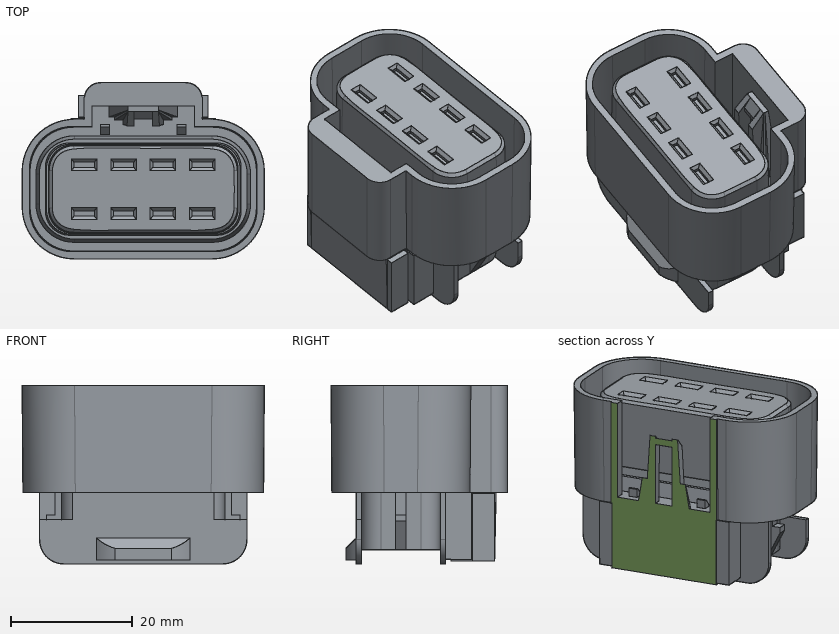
import cadquery as cq
import math

SHROUD_HALF_X = 19.93
SHROUD_HALF_Y = 11.5
SHROUD_RADIUS = 8.63
CAVITY_RADIUS = 7.1
SHROUD_TOP = 17.63
SHROUD_DRAFT = 0.13
WALL = 1.2
FLOOR = 1.3

BULGE_HALF_X = 9.72
BULGE_Y = 17.53
BULGE_RADIUS = 2.75
BULGE_POCKET_HALF_X = 8.44
BULGE_POCKET_Y = 13.65

RING_HALF_X = 17.64
RING_HALF_Y = 8.76
RING_RADIUS = 6.3
RING_HEIGHT = 2.4
RING_SLOPE_WIDTH = 0.55

PLUG_TOP = 16.5
PLUG_HALF_X = 15.45
PLUG_HALF_Y = 7.1
PLUG_RADIUS = 4.0
PLUG_DRAFT = 0.22
PLUG_CHAMFER = 0.5
FOOT_TOP = 5.0
FOOT_HALF_X = 15.9
FOOT_HALF_Y = 7.4
FOOT_DRAFT = 0.2

TERMINAL_COLUMNS = 4
TERMINAL_ROWS = 2
TERMINAL_PITCH_X = 6.48
TERMINAL_PITCH_Y = 8.0
MOUTH_X = 4.2
MOUTH_Y = 1.95
SLOT_X = 3.35
SLOT_Y = 0.85
MOUTH_DEPTH = 0.55
SLOT_DEPTH = 0.5

LATCH_TOP = 14.0
LATCH_TOP_HALF_X = 2.5
LATCH_TOP_Y = 12.72
LATCH_FLARE_HALF_X = 5.6
LATCH_FLARE_TOP_Y = 13.0
LATCH_FLARE_Y = 11.86
LATCH_WING_HALF_X = 4.7
LATCH_WING_Y = 11.34
RIB_INNER_X = 1.48
RIB_BASE_OUTER_X = 3.35
RIB_FRONT_Y = 10.35
RIB_FOOT_Y = 10.65
RIB_RAMP_DROP = 2.6
PAD_Y = 11.5
PAD_RAMP_DROP = 1.75
PAD_THICKNESS = 0.8

KEY_INNER_X = 5.52
KEY_OUTER_X = 7.0
KEY_BACK_Y = 10.6
KEY_CREST_Y = 10.25
KEY_FRONT_Y = 8.95
KEY_HEIGHT = 1.4

CORE_HALF_X = 13.45
CORE_HALF_Y = 6.48
CORE_RADIUS = 3.2
CORE_BOTTOM = -9.4

WEDGE_HALF_Y = 0.86
WEDGE_STEM_X = 14.5
WEDGE_TIP_X = 15.88
WEDGE_SHELF_Z = -3.66
WEDGE_TIP_Z = -4.68

PLATE_HALF_X = 17.06
PLATE_THICKNESS = 0.87
PLATE_BOTTOM = -11.73
PLATE_RADIUS = 4.0
NECK_HALF_X = 11.62
SHOULDER_Z = -4.44

NOSE_HALF_X = 7.68
NOSE_FLAT_HALF_X = 4.64
NOSE_DEPTH = 1.7
NOSE_END_RADIUS = 7.5
NOSE_TOP = -7.45
NOSE_BOTTOM = -11.1

INNER_BLOCK_HALF_X = 11.88
INNER_BLOCK_Y = 11.62
INNER_BLOCK_BOTTOM = -10.97
OUTER_BLOCK_HALF_X = 10.66
OUTER_BLOCK_Y = 15.42
OUTER_BLOCK_START_Y = 11.8
OUTER_BLOCK_TOP = -0.13
OUTER_BLOCK_BOTTOM = -11.23
TIE_HALF_X = 9.6
TIE_TOP_Y = 15.67
TIE_START_Y = 8.2


def box(x0, x1, y0, y1, z0, z1):
    """Axis-aligned box between two corners."""
    return cq.Workplane("XY").box(x1 - x0, y1 - y0, z1 - z0, centered=False).translate((x0, y0, z0))


def oval(half_x, half_y, radius, z0, z1, draft=0.0):
    """Rounded block whose half sizes change by draft from z0 to z1; the given sizes hold at z0."""
    plane = cq.Workplane("XY", origin=(0, 0, z0))
    height = z1 - z0
    base = cq.Sketch().rect(2 * half_x, 2 * half_y).vertices().fillet(radius)
    if draft == 0:
        return plane.placeSketch(base).extrude(height)
    top = cq.Sketch().rect(2 * (half_x + draft), 2 * (half_y + draft)).vertices().fillet(radius)
    return plane.placeSketch(base, top.moved(cq.Location((0, 0, height)))).loft()


def extrude_x(points, x0, x1):
    """Extrude an outline of (y, z) points from x0 to x1."""
    return cq.Workplane("YZ", origin=(x0, 0, 0)).polyline(points).close().extrude(x1 - x0)


def rect_loft(lower, upper):
    """Loft between two rectangles, each given as (x0, x1, y0, y1, z)."""
    wires = []
    for x0, x1, y0, y1, z in (lower, upper):
        corners = [(x0, y0, z), (x1, y0, z), (x1, y1, z), (x0, y1, z)]
        wires.append(cq.Wire.makePolygon([cq.Vector(*corner) for corner in corners], close=True))
    return cq.Workplane(obj=cq.Solid.makeLoft(wires, True))


def both_sides(half):
    """A body together with its mirror image across X = 0."""
    return half.union(half.mirror("YZ"))


def make_shroud():
    """Drafted oval shell with the latch bulge and a closed floor."""
    outer = oval(SHROUD_HALF_X - SHROUD_DRAFT, SHROUD_HALF_Y - SHROUD_DRAFT, SHROUD_RADIUS,
                 0, SHROUD_TOP, SHROUD_DRAFT)
    bulge = box(-BULGE_HALF_X, BULGE_HALF_X, 0, BULGE_Y, 0, SHROUD_TOP)
    bulge = bulge.edges("|Z and >Y").fillet(BULGE_RADIUS)
    cavity = oval(SHROUD_HALF_X - WALL - SHROUD_DRAFT, SHROUD_HALF_Y - WALL - SHROUD_DRAFT,
                  CAVITY_RADIUS, FLOOR, SHROUD_TOP, SHROUD_DRAFT)
    pocket = box(-BULGE_POCKET_HALF_X, BULGE_POCKET_HALF_X, 0, BULGE_POCKET_Y, FLOOR, SHROUD_TOP)
    return outer.union(bulge).cut(cavity).cut(pocket)


def make_ring():
    """Flat-topped ring around the plug with a steep sloping outer wall."""
    outline = cq.Sketch().rect(2 * RING_HALF_X, 2 * RING_HALF_Y).vertices().fillet(RING_RADIUS)
    slope = math.degrees(math.atan2(RING_SLOPE_WIDTH, RING_HEIGHT))
    return cq.Workplane("XY", origin=(0, 0, FLOOR)).placeSketch(outline).extrude(RING_HEIGHT, taper=slope)


def make_plug():
    """Plug body on its stepped foot, with the terminal openings."""
    foot = oval(FOOT_HALF_X + FOOT_DRAFT, FOOT_HALF_Y + FOOT_DRAFT, PLUG_RADIUS,
                FLOOR + RING_HEIGHT, FOOT_TOP, -FOOT_DRAFT)
    body = oval(PLUG_HALF_X + PLUG_DRAFT, PLUG_HALF_Y + PLUG_DRAFT, PLUG_RADIUS,
                0, PLUG_TOP, -PLUG_DRAFT)
    body = body.faces(">Z").chamfer(PLUG_CHAMFER)
    plug = foot.union(body)
    slot_top = PLUG_TOP - MOUTH_DEPTH
    slot = box(-SLOT_X / 2, SLOT_X / 2, -SLOT_Y / 2, SLOT_Y / 2, slot_top - SLOT_DEPTH, slot_top)
    mouth = rect_loft((-SLOT_X / 2, SLOT_X / 2, -SLOT_Y / 2, SLOT_Y / 2, slot_top),
                      (-MOUTH_X / 2, MOUTH_X / 2, -MOUTH_Y / 2, MOUTH_Y / 2, PLUG_TOP))
    opening = slot.union(mouth)
    for column in range(TERMINAL_COLUMNS):
        for row in range(TERMINAL_ROWS):
            x = (column - (TERMINAL_COLUMNS - 1) / 2) * TERMINAL_PITCH_X
            y = (row - (TERMINAL_ROWS - 1) / 2) * TERMINAL_PITCH_Y
            plug = plug.cut(opening.translate((x, y, 0)))
    return plug


def make_latch():
    """Flared latch on the rear pocket wall with two ramped ribs and a catch pad between them."""
    flare = rect_loft((-LATCH_FLARE_HALF_X, LATCH_FLARE_HALF_X, LATCH_FLARE_Y, BULGE_POCKET_Y, FLOOR),
                      (-LATCH_TOP_HALF_X, LATCH_TOP_HALF_X, LATCH_FLARE_TOP_Y, BULGE_POCKET_Y, LATCH_TOP))
    wings = rect_loft((-LATCH_WING_HALF_X, LATCH_WING_HALF_X, LATCH_WING_Y, BULGE_POCKET_Y, FLOOR),
                      (-LATCH_TOP_HALF_X, LATCH_TOP_HALF_X, LATCH_TOP_Y, BULGE_POCKET_Y, LATCH_TOP))
    channel = box(-RIB_INNER_X, RIB_INNER_X, RIB_FRONT_Y, LATCH_TOP_Y, FLOOR, LATCH_TOP)
    rib_blank = rect_loft((RIB_INNER_X, RIB_BASE_OUTER_X, RIB_FOOT_Y, BULGE_POCKET_Y, FLOOR),
                          (RIB_INNER_X, LATCH_TOP_HALF_X, RIB_FRONT_Y, BULGE_POCKET_Y, LATCH_TOP))
    ramp_outline = [(RIB_FRONT_Y, LATCH_TOP - RIB_RAMP_DROP), (LATCH_TOP_Y, LATCH_TOP),
                    (RIB_FRONT_Y, LATCH_TOP)]
    rib_ramp = extrude_x(ramp_outline, RIB_INNER_X, RIB_BASE_OUTER_X)
    ribs = both_sides(rib_blank.cut(rib_ramp))
    pad_foot = LATCH_TOP - PAD_RAMP_DROP - PAD_THICKNESS
    pad = extrude_x([(LATCH_TOP_Y, LATCH_TOP), (PAD_Y, LATCH_TOP - PAD_RAMP_DROP), (PAD_Y, pad_foot),
                     (LATCH_TOP_Y, pad_foot)], -RIB_INNER_X, RIB_INNER_X)
    return flare.union(wings).cut(channel).union(ribs).union(pad)


def make_keys():
    """Pair of low ramped keys standing on the floor between latch and plug."""
    crest = FLOOR + KEY_HEIGHT
    key = extrude_x([(KEY_FRONT_Y, 0), (KEY_FRONT_Y, FLOOR), (KEY_CREST_Y, crest), (KEY_BACK_Y, crest),
                     (KEY_BACK_Y, 0)], KEY_INNER_X, KEY_OUTER_X)
    return both_sides(key)


def make_core():
    """Rounded core below the floor with a locking wedge at each end."""
    core = oval(CORE_HALF_X, CORE_HALF_Y, CORE_RADIUS, CORE_BOTTOM, 0)
    outline = [(0, 0), (WEDGE_STEM_X, 0), (WEDGE_STEM_X, WEDGE_SHELF_Z), (WEDGE_TIP_X, WEDGE_SHELF_Z),
               (WEDGE_TIP_X, WEDGE_TIP_Z), (CORE_HALF_X, CORE_BOTTOM), (0, CORE_BOTTOM)]
    wedge = cq.Workplane("XZ").polyline(outline).close().extrude(WEDGE_HALF_Y, both=True)
    return core.union(both_sides(wedge))


def make_plate(y0):
    """Plate with rounded lower corners, starting at y0."""
    plate = box(-PLATE_HALF_X, PLATE_HALF_X, y0, y0 + PLATE_THICKNESS, PLATE_BOTTOM, 0)
    return plate.edges("|Y and <Z").fillet(PLATE_RADIUS)


def make_front_plate():
    """Front plate with shoulders cut back to a narrower neck."""
    y0 = -CORE_HALF_Y - PLATE_THICKNESS
    notch = box(NECK_HALF_X, PLATE_HALF_X, y0, -CORE_HALF_Y, SHOULDER_Z, 0)
    return make_plate(y0).cut(both_sides(notch))


def make_nose():
    """Locking nose with bowed ends and a 45 degree lead-in on top."""
    root = -CORE_HALF_Y - PLATE_THICKNESS
    front = root - NOSE_DEPTH
    nose = (cq.Workplane("XY", origin=(0, 0, NOSE_BOTTOM))
            .moveTo(-NOSE_FLAT_HALF_X, front)
            .lineTo(NOSE_FLAT_HALF_X, front)
            .radiusArc((NOSE_HALF_X, root), -NOSE_END_RADIUS)
            .lineTo(-NOSE_HALF_X, root)
            .radiusArc((-NOSE_FLAT_HALF_X, front), -NOSE_END_RADIUS)
            .close()
            .extrude(NOSE_TOP - NOSE_BOTTOM))
    lead_in = extrude_x([(root, NOSE_TOP), (front, NOSE_TOP - NOSE_DEPTH), (front, NOSE_TOP)],
                        -NOSE_HALF_X, NOSE_HALF_X)
    return nose.cut(lead_in)


def make_rear_blocks():
    """Blocks behind the rear plate that carry the latch bulge from below."""
    rear_plate_y = CORE_HALF_Y + PLATE_THICKNESS
    inner = box(-INNER_BLOCK_HALF_X, INNER_BLOCK_HALF_X, rear_plate_y, INNER_BLOCK_Y, INNER_BLOCK_BOTTOM, 0)
    outer = box(-OUTER_BLOCK_HALF_X, OUTER_BLOCK_HALF_X, OUTER_BLOCK_START_Y, OUTER_BLOCK_Y,
                OUTER_BLOCK_BOTTOM, OUTER_BLOCK_TOP)
    tie = extrude_x([(TIE_START_Y, 0), (TIE_TOP_Y, 0), (OUTER_BLOCK_Y, OUTER_BLOCK_BOTTOM),
                     (TIE_START_Y, OUTER_BLOCK_BOTTOM)], -TIE_HALF_X, TIE_HALF_X)
    return inner.union(outer).union(tie)


result = make_shroud()
features = [
    make_ring(),
    make_plug(),
    make_latch(),
    make_keys(),
    make_core(),
    make_plate(CORE_HALF_Y),
    make_front_plate(),
    make_nose(),
    make_rear_blocks(),
]
for feature in features:
    result = result.union(feature)